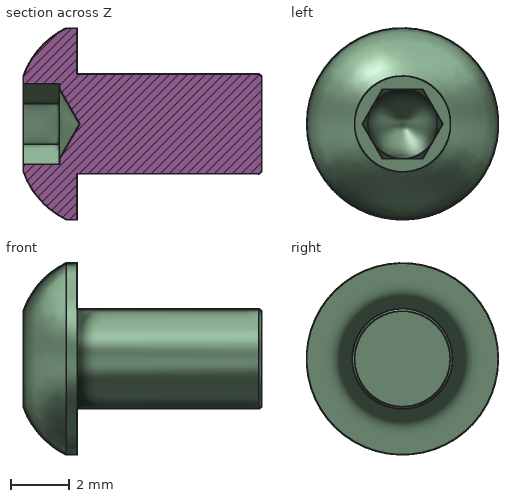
import cadquery as cq
import math

total_length = 8.2
head_diameter = 6.59
head_height = 1.85
rim_thickness = 0.38
crown_flat_diameter = 3.3
crown_bulge = 0.21
shank_diameter = 3.44
tip_chamfer_length = 0.1
tip_chamfer_depth = 0.08
hex_across_flats = 2.395
hex_depth = 1.25
drill_point_angle = 120.0

head_radius = head_diameter / 2
flat_radius = crown_flat_diameter / 2
shank_radius = shank_diameter / 2
crown_height = head_height - rim_thickness


def make_body():
    """Revolve the half profile of the head and shank about X."""
    rise = head_radius - flat_radius
    chord = math.hypot(crown_height, rise)
    crown_mid = (
        crown_height / 2 - crown_bulge * rise / chord,
        (flat_radius + head_radius) / 2 + crown_bulge * crown_height / chord,
    )
    return (
        cq.Workplane("XY")
        .lineTo(0, flat_radius)
        .threePointArc(crown_mid, (crown_height, head_radius))
        .lineTo(head_height, head_radius)
        .lineTo(head_height, shank_radius)
        .lineTo(total_length - tip_chamfer_length, shank_radius)
        .lineTo(total_length, shank_radius - tip_chamfer_depth)
        .lineTo(total_length, 0)
        .close()
        .revolve(360, (0, 0, 0), (1, 0, 0))
    )


def make_socket():
    """Hexagonal socket with corners along Y and a conical drilled bottom."""
    across_corners = hex_across_flats / math.cos(math.radians(30))
    hexagon = cq.Workplane("YZ").polygon(6, across_corners).extrude(hex_depth)
    cone_radius = hex_across_flats / 2
    cone_depth = cone_radius / math.tan(math.radians(drill_point_angle / 2))
    cone = (
        cq.Workplane("XY")
        .moveTo(hex_depth, 0)
        .lineTo(hex_depth, cone_radius)
        .lineTo(hex_depth + cone_depth, 0)
        .close()
        .revolve(360, (0, 0, 0), (1, 0, 0))
    )
    return hexagon.union(cone)


result = make_body().cut(make_socket())